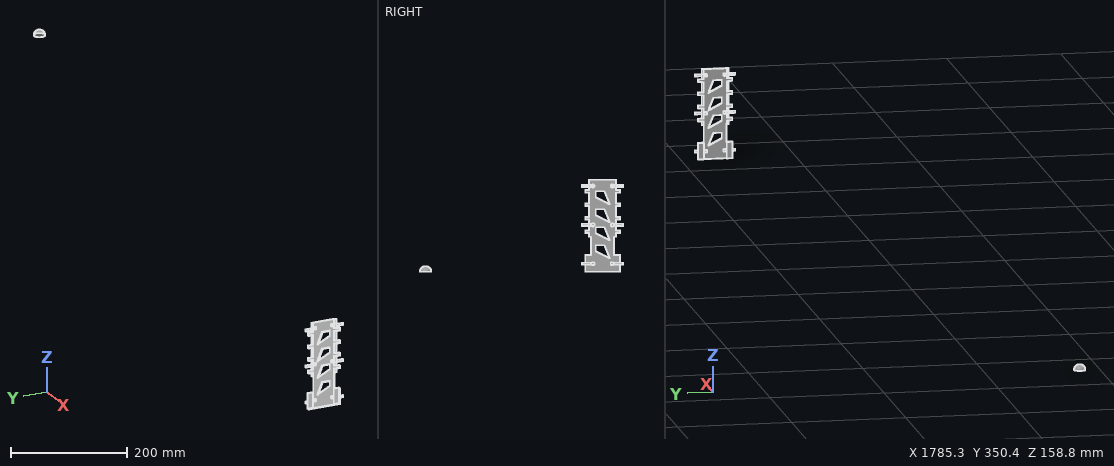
import cadquery as cq

TOTAL_X = 1785.3
TOTAL_Y = 350.45
RACK_HEIGHT = 158.75

KNOB_RADIUS = 10.0

PLATE_THICKNESS = 3.2
CORE_WIDTH = 40.0
FULL_WIDTH = 60.0
PEG_SPAN = 71.0

BAND_WIDTH_ACROSS = 47.0
BAND_BOTTOM = 60.0
BAND_THICKNESS = 2.4

EAR_HEIGHT = 29.0
EAR_THICKNESS = 4.9

PEG_DIAMETER = 4.0
PEG_COUNT = 3
LOWEST_PEG_Z = 13.8
PEG_PITCH = 67.0
HOLE_DIAMETER = 4.9
HOLE_OFFSET_Y = 16.5
BOSS_DIAMETER = 2.5
BOSS_OFFSET_Y = 18.5
BOSS_LENGTH = 3.2

plate_back = TOTAL_X - BOSS_LENGTH
plate_front = plate_back - PLATE_THICKNESS
rack_y = TOTAL_Y - PEG_SPAN / 2

peg_levels = [LOWEST_PEG_Z + i * PEG_PITCH for i in range(PEG_COUNT)]

TOOTH_HEIGHT = 4.9
LOWEST_TOOTH_Z = 69.0
TOOTH_PITCH = 23.2
TOOTH_COUNT = 4

WINDOW_COUNT = 4
WINDOW_PITCH = 31.0
LOWEST_WINDOW_Z = 23.5
WINDOW_HEIGHT = 22.0
WINDOW_JAMB_HEIGHT = 10.0
WINDOW_LEFT_Y = 12.0
WINDOW_TOP_LEFT_Y = 3.0
WINDOW_RIGHT_Y = -11.5


def make_knob():
    ball = cq.Workplane("XY").sphere(KNOB_RADIUS)
    upper_half = cq.Workplane("XY").box(
        2 * KNOB_RADIUS, 2 * KNOB_RADIUS, KNOB_RADIUS, centered=(True, True, False)
    )
    return ball.intersect(upper_half).translate((KNOB_RADIUS, KNOB_RADIUS, 0))


def slab(width, bottom, top, thickness):
    """A block across the rack, flush with the plate's back."""
    return (
        cq.Workplane("XY")
        .box(thickness, width, top - bottom, centered=(False, True, False))
        .translate((plate_back - thickness, rack_y, bottom))
    )


def make_plate():
    """Core strip, thinner edge bands above, a thicker ear at each side of the foot, and teeth."""
    plate = slab(CORE_WIDTH, 0, RACK_HEIGHT, PLATE_THICKNESS)
    plate = plate.union(slab(BAND_WIDTH_ACROSS, BAND_BOTTOM, RACK_HEIGHT, BAND_THICKNESS))
    core_gap = slab(CORE_WIDTH, 0, EAR_HEIGHT, EAR_THICKNESS)
    ears = slab(FULL_WIDTH, 0, EAR_HEIGHT, EAR_THICKNESS).cut(core_gap)
    plate = plate.union(ears)
    for i in range(TOOTH_COUNT):
        middle = LOWEST_TOOTH_Z + i * TOOTH_PITCH
        tooth = slab(FULL_WIDTH, middle - TOOTH_HEIGHT / 2, middle + TOOTH_HEIGHT / 2, PLATE_THICKNESS)
        plate = plate.union(tooth)
    return plate


def make_window(bottom):
    top = bottom + WINDOW_HEIGHT
    return (
        cq.Workplane("YZ", origin=(plate_front, rack_y, 0))
        .moveTo(WINDOW_LEFT_Y, bottom)
        .lineTo(WINDOW_TOP_LEFT_Y, top)
        .lineTo(WINDOW_RIGHT_Y, top)
        .lineTo(WINDOW_RIGHT_Y, top - WINDOW_JAMB_HEIGHT)
        .close()
        .extrude(PLATE_THICKNESS)
    )


def make_pegs(level):
    """A pair of pegs out from the core edges, their axis on the plate's back face."""
    peg_length = (PEG_SPAN - CORE_WIDTH) / 2
    pegs = (
        cq.Workplane("XZ", origin=(plate_back, TOTAL_Y, level))
        .circle(PEG_DIAMETER / 2)
        .extrude(peg_length)
    )
    return pegs.union(pegs.mirror("XZ", (0, rack_y, 0)))


def make_cylinder_pair(start_x, offset_y, level, diameter, length):
    """Two cylinders along X, side by side about the rack's middle."""
    return (
        cq.Workplane("YZ", origin=(start_x, rack_y, level))
        .pushPoints([(-offset_y, 0), (offset_y, 0)])
        .circle(diameter / 2)
        .extrude(length)
    )


def make_rack():
    rack = make_plate()
    for i in range(WINDOW_COUNT):
        rack = rack.cut(make_window(LOWEST_WINDOW_Z + i * WINDOW_PITCH))
    for level in peg_levels:
        rack = rack.union(make_pegs(level))
        rack = rack.cut(make_cylinder_pair(plate_front, HOLE_OFFSET_Y, level, HOLE_DIAMETER, PLATE_THICKNESS))
    bosses = make_cylinder_pair(plate_back, BOSS_OFFSET_Y, peg_levels[-1], BOSS_DIAMETER, BOSS_LENGTH)
    return rack.union(bosses)


knob = make_knob()
rack = make_rack()
result = cq.Compound.makeCompound([knob.val(), rack.val()])